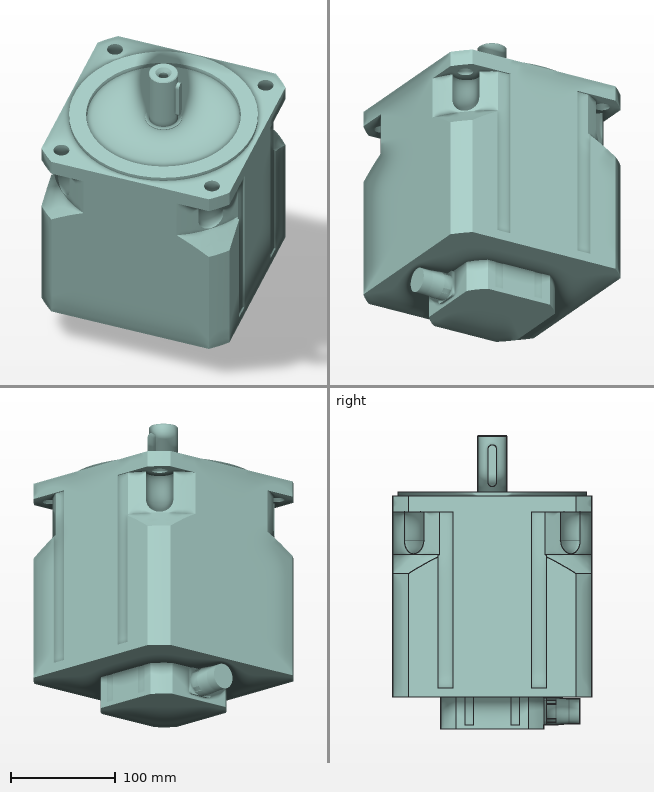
import cadquery as cq

TOTAL_HEIGHT = 280.0
CAP_HEIGHT = 30.5
FLANGE_UNDERSIDE = 207.2
FLANGE_TOP = 222.3
PILOT_HEIGHT = 4.0
PILOT_TOP = FLANGE_TOP + PILOT_HEIGHT

BODY_WIDTH = 190.0
BODY_CORNER_RADIUS = 124.0

PILOT_DIAMETER = 180.0
RECESS_TOP_DIAMETER = 147.5
RECESS_FLOOR_DIAMETER = 146.0

RELIEF_RADIUS = 106.0
RELIEF_STRAIGHT_END = 166.3
RELIEF_OVERRUN = 2.8
RELIEF_CONE_END = RELIEF_STRAIGHT_END - (BODY_CORNER_RADIUS - RELIEF_RADIUS)

MOUNT_HOLE_DIAMETER = 15.0
MOUNT_HOLE_OFFSET = 76.2
SCOOP_RADIUS = 13.5
SCOOP_OFFSET = 72.2
SCOOP_BALL_HEIGHT = 180.0

GROOVE_DEPTH = 1.7
GROOVE_WIDTH = 14.5
GROOVE_CENTRE = 44.5
GROOVE_BOTTOM = 39.5

CAP_WIDTH = 98.5
CAP_CORNER_RADIUS = 60.2
CAP_GROOVE_DEPTH = 0.5
CAP_GROOVE_WIDTH = 8.5
CAP_GROOVE_CENTRE = 21.8
CAP_GROOVE_BOTTOM = 4.2

CONNECTOR_HEIGHT = 17.0
CONNECTOR_DIAMETER = 24.0
CONNECTOR_COLLAR_DIAMETER = 26.0
CONNECTOR_CORNER_RADIUS = 2.8
CONNECTOR_SEAT = CAP_WIDTH / 2
CONNECTOR_PLATE_THICKNESS = 2.5
CONNECTOR_PLATE_END = CONNECTOR_SEAT + CONNECTOR_PLATE_THICKNESS
CONNECTOR_COLLAR_END = 60.8
CONNECTOR_TAPER_END = 73.5
CONNECTOR_END = 83.5
NOTCH_COUNT = 4
NOTCH_WIDTH = 5.0
NOTCH_DEPTH = 1.0

SHAFT_DIAMETER = 28.0
SHAFT_CHAMFER = 0.8
SHOULDER_DIAMETER = 35.0
SHOULDER_HEIGHT = 0.8
SHOULDER_TOP = FLANGE_TOP + SHOULDER_HEIGHT
CENTRE_HOLE_DIAMETER = 9.0
CENTRE_MOUTH_DIAMETER = 15.5
CENTRE_CONE_DEPTH = 4.0
CENTRE_HOLE_DEPTH = 16.8

KEY_WIDTH = 8.0
KEY_BOTTOM = 231.3
KEY_TOP = 271.0
KEY_INNER = 10.0
KEY_OUTER = 17.0


def round_cornered_bar(width, corner_radius, bottom, top):
    height = top - bottom
    bar = cq.Workplane("XY").workplane(offset=bottom).rect(width, width).extrude(height)
    cylinder = cq.Workplane("XY").workplane(offset=bottom).circle(corner_radius).extrude(height)
    return bar.intersect(cylinder)


def disc(diameter, bottom, top):
    return cq.Workplane("XY").workplane(offset=bottom).circle(diameter / 2).extrude(top - bottom)


def turned_about_z(profile):
    return cq.Workplane("XZ").polyline(profile).close().revolve(360, (0, 0, 0), (0, 1, 0))


def corner_relief():
    outside = BODY_CORNER_RADIUS + RELIEF_OVERRUN
    cone_overrun = RELIEF_CONE_END - RELIEF_OVERRUN
    profile = [
        (RELIEF_RADIUS, FLANGE_UNDERSIDE),
        (RELIEF_RADIUS, RELIEF_STRAIGHT_END),
        (outside, cone_overrun),
        (outside, FLANGE_UNDERSIDE),
    ]
    return turned_about_z(profile)


def corner_points(offset):
    return [(x, y) for x in (-offset, offset) for y in (-offset, offset)]


def scoops():
    points = corner_points(SCOOP_OFFSET)
    bores = (
        cq.Workplane("XY").workplane(offset=SCOOP_BALL_HEIGHT).pushPoints(points)
        .circle(SCOOP_RADIUS).extrude(FLANGE_UNDERSIDE - SCOOP_BALL_HEIGHT)
    )
    balls = (
        cq.Workplane("XY").workplane(offset=SCOOP_BALL_HEIGHT).pushPoints(points)
        .sphere(SCOOP_RADIUS)
    )
    return bores.union(balls)


def side_grooves(half_width, depth, width, centre, bottom, top):
    grooves = cq.Workplane("XY")
    for x in (-half_width, half_width):
        for y in (-centre, centre):
            groove = cq.Workplane("XY").box(2 * depth, width, top - bottom)
            grooves = grooves.add(groove.translate((x, y, (bottom + top) / 2)))
    return grooves.combine()


def square_body():
    body = round_cornered_bar(BODY_WIDTH, BODY_CORNER_RADIUS, CAP_HEIGHT, FLANGE_TOP)
    grooves = side_grooves(
        BODY_WIDTH / 2, GROOVE_DEPTH, GROOVE_WIDTH, GROOVE_CENTRE, GROOVE_BOTTOM, FLANGE_UNDERSIDE
    )
    body = body.cut(grooves).cut(corner_relief()).cut(scoops())
    mount_hole = disc(MOUNT_HOLE_DIAMETER, FLANGE_UNDERSIDE, FLANGE_TOP)
    for x, y in corner_points(MOUNT_HOLE_OFFSET):
        body = body.cut(mount_hole.translate((x, y, 0)))
    return body


def rear_cap():
    cap = round_cornered_bar(CAP_WIDTH, CAP_CORNER_RADIUS, 0, CAP_HEIGHT)
    grooves = side_grooves(
        CAP_WIDTH / 2, CAP_GROOVE_DEPTH, CAP_GROOVE_WIDTH, CAP_GROOVE_CENTRE, CAP_GROOVE_BOTTOM, CAP_HEIGHT
    )
    return cap.cut(grooves)


def pilot_ring():
    recess = (
        cq.Workplane("XY").workplane(offset=FLANGE_TOP).circle(RECESS_FLOOR_DIAMETER / 2)
        .workplane(offset=PILOT_HEIGHT).circle(RECESS_TOP_DIAMETER / 2).loft()
    )
    return disc(PILOT_DIAMETER, FLANGE_TOP, PILOT_TOP).cut(recess)


def make_key():
    length = KEY_TOP - KEY_BOTTOM
    middle = (KEY_TOP + KEY_BOTTOM) / 2
    return (
        cq.Workplane("YZ", origin=(KEY_INNER, 0, middle)).slot2D(length, KEY_WIDTH, 90)
        .extrude(KEY_OUTER - KEY_INNER)
    )


def centre_hole():
    mouth = CENTRE_MOUTH_DIAMETER / 2
    hole = CENTRE_HOLE_DIAMETER / 2
    profile = [
        (0, TOTAL_HEIGHT),
        (mouth, TOTAL_HEIGHT),
        (hole, TOTAL_HEIGHT - CENTRE_CONE_DEPTH),
        (hole, TOTAL_HEIGHT - CENTRE_HOLE_DEPTH),
        (0, TOTAL_HEIGHT - CENTRE_HOLE_DEPTH - hole),
    ]
    return turned_about_z(profile)


def shaft_end():
    shaft = disc(SHAFT_DIAMETER, FLANGE_TOP, TOTAL_HEIGHT).faces(">Z").chamfer(SHAFT_CHAMFER)
    shoulder = disc(SHOULDER_DIAMETER, FLANGE_TOP, SHOULDER_TOP)
    return shaft.union(shoulder).cut(centre_hole()).cut(make_key())


def make_motor():
    return square_body().union(rear_cap()).union(pilot_ring()).union(shaft_end())


def make_connector():
    barrel_radius = CONNECTOR_DIAMETER / 2
    collar_radius = CONNECTOR_COLLAR_DIAMETER / 2
    profile = [
        (0, CONNECTOR_SEAT),
        (collar_radius, CONNECTOR_SEAT),
        (collar_radius, CONNECTOR_COLLAR_END),
        (barrel_radius, CONNECTOR_TAPER_END),
        (barrel_radius, CONNECTOR_END),
        (0, CONNECTOR_END),
    ]
    connector = cq.Workplane("XY").polyline(profile).close().revolve(360, (0, 0, 0), (0, 1, 0))

    notch_length = CONNECTOR_COLLAR_END - CONNECTOR_PLATE_END
    notch_middle = (CONNECTOR_COLLAR_END + CONNECTOR_PLATE_END) / 2
    notch = cq.Workplane("XY").box(2 * NOTCH_DEPTH, notch_length, NOTCH_WIDTH)
    notch = notch.translate((collar_radius, notch_middle, 0))
    step = 360 / NOTCH_COUNT
    for i in range(NOTCH_COUNT):
        connector = connector.cut(notch.rotate((0, 0, 0), (0, 1, 0), (i + 0.5) * step))

    plate = (
        cq.Workplane("XY")
        .box(CONNECTOR_COLLAR_DIAMETER, CONNECTOR_PLATE_THICKNESS, CONNECTOR_COLLAR_DIAMETER)
        .edges("|Y").fillet(CONNECTOR_CORNER_RADIUS)
        .translate((0, CONNECTOR_SEAT + CONNECTOR_PLATE_THICKNESS / 2, 0))
    )
    return connector.union(plate).translate((0, 0, CONNECTOR_HEIGHT))


motor = make_motor()
key = make_key()
connector = make_connector()

result = cq.Compound.makeCompound([motor.val(), key.val(), connector.val()])